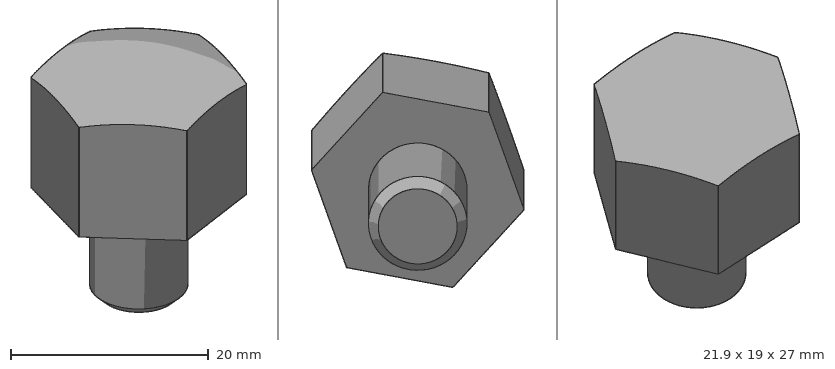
import cadquery as cq
import math

total_height = 27.0
across_flats = 19.0
corner_diameter = 21.9
stem_diameter = 10.0
stem_length = 12.0
tip_chamfer = 1.0
dome_radius = 30.0

corner_radius = corner_diameter / 2
head_height = total_height - stem_length
dome_center = head_height - dome_radius


def dome_height(radius):
    """Height of the spherical top at a distance from the axis."""
    return dome_center + math.sqrt(dome_radius**2 - radius**2)


def domed_blank():
    """Round head blank with its underside at Z = 0."""
    return (
        cq.Workplane("XZ")
        .lineTo(corner_radius, 0)
        .lineTo(corner_radius, dome_height(corner_radius))
        .threePointArc(
            (corner_radius / 2, dome_height(corner_radius / 2)),
            (0, head_height),
        )
        .close()
        .revolve(360, (0, 0), (0, 1))
    )


def hexagonal_prism():
    """Hexagon with two flats facing -Y and +Y."""
    sharp_corner_diameter = across_flats / math.cos(math.pi / 6)
    return cq.Workplane("XY").polygon(6, sharp_corner_diameter).extrude(head_height)


def stem():
    """Cylindrical stem below the head, chamfered at its tip."""
    return (
        cq.Workplane("XY")
        .circle(stem_diameter / 2)
        .extrude(-stem_length)
        .faces("<Z")
        .chamfer(tip_chamfer)
    )


head = domed_blank().intersect(hexagonal_prism())
result = head.union(stem())